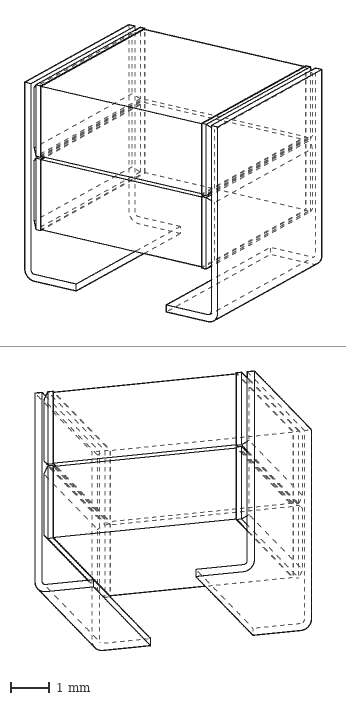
import cadquery as cq

length = 6.0
width = 5.0
height = 5.5

sheet = 0.2
foot_length = 1.6
bend_inner_radius = 0.1

chip_height = 2.0
chip_count = 2
chip_gap = 0.05
cap_length = 0.3
cap_chamfer = 0.155
body_inset = 0.021

bend_outer_radius = bend_inner_radius + sheet
chip_length = length - 2 * sheet
body_length = chip_length - 2 * cap_length
chip_pitch = chip_height + chip_gap
top_chip_center = height - chip_height / 2


def make_left_lead():
    """L-shaped lead: upright plate on the -X end with a foot bent inward."""
    outer_x = -length / 2
    blank = (
        cq.Workplane("XZ")
        .moveTo(outer_x, 0)
        .lineTo(outer_x + foot_length, 0)
        .lineTo(outer_x + foot_length, sheet)
        .lineTo(outer_x + sheet, sheet)
        .lineTo(outer_x + sheet, height)
        .lineTo(outer_x, height)
        .close()
        .extrude(width / 2, both=True)
    )
    outer_corner = cq.selectors.NearestToPointSelector((outer_x, 0, 0))
    inner_corner = cq.selectors.NearestToPointSelector((outer_x + sheet, 0, sheet))
    rounded = blank.edges("|Y").edges(outer_corner).fillet(bend_outer_radius)
    return rounded.edges("|Y").edges(inner_corner).fillet(bend_inner_radius)


def make_left_cap():
    """End cap on the -X end of a chip, chamfered around its outer face."""
    center_x = (cap_length - chip_length) / 2
    block = cq.Workplane("XY").box(cap_length, width, chip_height).translate((center_x, 0, 0))
    return block.faces("<X").chamfer(cap_chamfer)


def make_chip():
    """Ceramic body, slightly smaller in section than its two end caps."""
    body = cq.Workplane("XY").box(body_length, width - 2 * body_inset, chip_height - 2 * body_inset)
    left_cap = make_left_cap()
    return body.union(left_cap).union(left_cap.mirror("YZ"))


left_lead = make_left_lead()
result = left_lead.union(left_lead.mirror("YZ"))
chip = make_chip()
for level in range(chip_count):
    result = result.union(chip.translate((0, 0, top_chip_center - level * chip_pitch)))